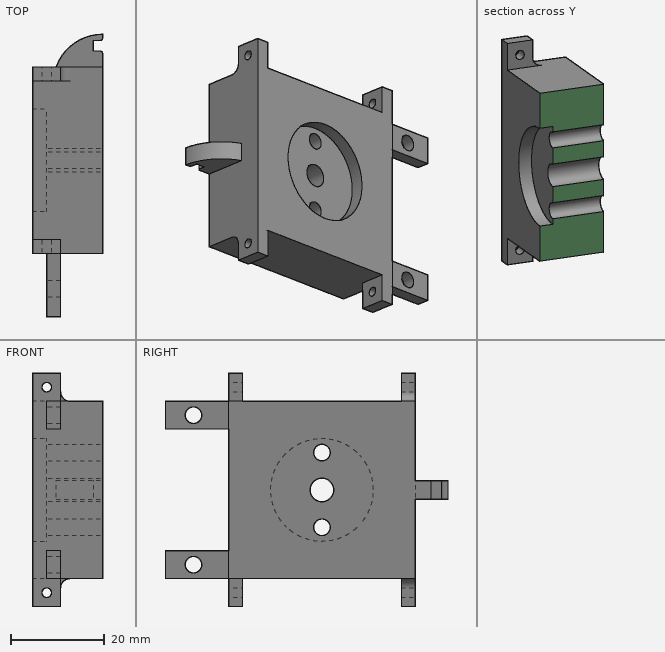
import cadquery as cq
import math

BODY_X = 15.0
BODY_Y = 40.0
BODY_Z = 38.0
BODY_TOP = BODY_Z / 2

EAR_X = 6.0
EAR_Y = 3.0
EAR_RISE = 6.0
EAR_HOLE_D = 2.0
EAR_FILLET_R = 2.0

ARM_X = 3.0
ARM_Z = 6.0
ARM_LENGTH = 13.5
ARM_HOLE_D = 3.5
ARM_HOLE_REACH = 7.5

RECESS_D = 22.0
RECESS_DEPTH = 3.0
CENTRE_HOLE_D = 5.0
SIDE_HOLE_D = 3.5
SIDE_HOLE_OFFSET = 8.0

LATCH_REACH = 7.0
LATCH_THICKNESS = 4.0
LATCH_ROOT_WIDTH = 10.0
LATCH_R = (LATCH_ROOT_WIDTH**2 + LATCH_REACH**2) / (2 * LATCH_REACH)
NOTCH_DEPTH = 2.0
NOTCH_WIDTH = 2.2
NOTCH_START = 3.4
NOTCH_LIP_R = 0.6


def box(x, y, z, size_x, size_y, size_z):
    """Box whose lowest corner is at (x, y, z)."""
    return cq.Workplane("XY").box(size_x, size_y, size_z, centered=False).translate((x, y, z))


def hole_along_x(diameter, y, z, depth):
    """Cylinder running in +X from the plane of the back face."""
    return cq.Workplane("YZ").center(y, z).circle(diameter / 2).extrude(depth)


def ear_pair(y):
    """Upper and lower ears, as one bar that passes through the block."""
    height = BODY_Z + 2 * EAR_RISE
    bar = box(0, y, -height / 2, EAR_X, EAR_Y, height)
    hole_z = BODY_TOP + EAR_RISE / 2
    holes = (
        cq.Workplane("XZ", origin=(0, y, 0))
        .pushPoints([(EAR_X / 2, hole_z), (EAR_X / 2, -hole_z)])
        .circle(EAR_HOLE_D / 2)
        .extrude(-EAR_Y)
    )
    return bar.cut(holes)


def ear_fillet(side):
    """Concave fillet between a far ear and the block; side is +1 above, -1 below."""
    base = side * BODY_TOP
    centre_x = EAR_X + EAR_FILLET_R
    centre_z = base + side * EAR_FILLET_R
    mid_offset = EAR_FILLET_R * math.sqrt(0.5)
    return (
        cq.Workplane("XZ", origin=(0, BODY_Y, 0))
        .moveTo(EAR_X, base)
        .lineTo(centre_x, base)
        .threePointArc((centre_x - mid_offset, centre_z - side * mid_offset), (EAR_X, centre_z))
        .close()
        .extrude(EAR_Y)
    )


def arm(z_centre):
    """Arm flush with the +X face of the ears, with a cross hole."""
    bar = box(EAR_X - ARM_X, -ARM_LENGTH, z_centre - ARM_Z / 2, ARM_X, ARM_LENGTH, ARM_Z)
    return bar.cut(hole_along_x(ARM_HOLE_D, -ARM_HOLE_REACH, z_centre, EAR_X))


def latch():
    """Latch whose arc is level at the tip, with a rounded-lip notch."""
    tip_y = BODY_Y + LATCH_REACH
    centre_y = tip_y - LATCH_R
    root_x = BODY_X - LATCH_ROOT_WIDTH
    mid_angle = (math.pi / 2 + math.atan2(BODY_Y - centre_y, root_x - BODY_X)) / 2
    mid_point = (BODY_X + LATCH_R * math.cos(mid_angle), centre_y + LATCH_R * math.sin(mid_angle))
    notch_y = BODY_Y + NOTCH_START
    notch_end_y = notch_y + NOTCH_WIDTH
    notch_x = BODY_X - NOTCH_DEPTH
    lip_x = BODY_X - NOTCH_LIP_R
    mid_lip = NOTCH_LIP_R * math.sqrt(0.5)
    return (
        cq.Workplane("XY", origin=(0, 0, -LATCH_THICKNESS / 2))
        .moveTo(root_x, BODY_Y)
        .threePointArc(mid_point, (BODY_X, tip_y))
        .lineTo(BODY_X, notch_end_y + NOTCH_LIP_R)
        .threePointArc((lip_x + mid_lip, notch_end_y + NOTCH_LIP_R - mid_lip), (lip_x, notch_end_y))
        .lineTo(notch_x, notch_end_y)
        .lineTo(notch_x, notch_y)
        .lineTo(lip_x, notch_y)
        .threePointArc((lip_x + mid_lip, notch_y - NOTCH_LIP_R + mid_lip), (BODY_X, notch_y - NOTCH_LIP_R))
        .lineTo(BODY_X, BODY_Y)
        .close()
        .extrude(LATCH_THICKNESS)
    )


def recess_and_holes():
    """Material removed from the middle of the block."""
    middle_y = BODY_Y / 2
    removed = hole_along_x(RECESS_D, middle_y, 0, RECESS_DEPTH)
    removed = removed.union(hole_along_x(CENTRE_HOLE_D, middle_y, 0, BODY_X))
    for z in (-SIDE_HOLE_OFFSET, SIDE_HOLE_OFFSET):
        removed = removed.union(hole_along_x(SIDE_HOLE_D, middle_y, z, BODY_X))
    return removed


part = box(0, 0, -BODY_TOP, BODY_X, BODY_Y, BODY_Z)
for ear_y in (0, BODY_Y - EAR_Y):
    part = part.union(ear_pair(ear_y))
for side in (-1, 1):
    part = part.union(ear_fillet(side))
    part = part.union(arm(side * (BODY_TOP - ARM_Z / 2)))
part = part.union(latch())

result = part.cut(recess_and_holes())